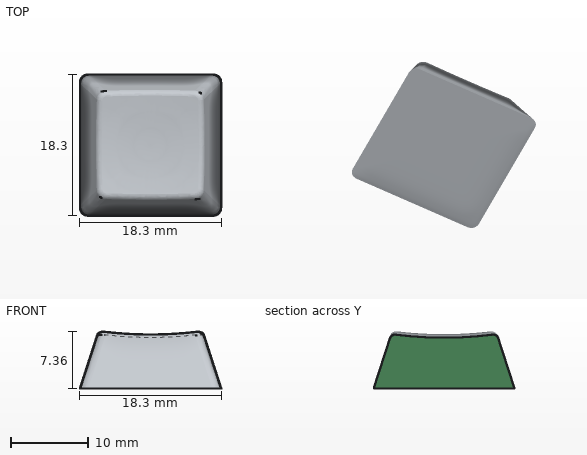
import cadquery as cq

base_side = 18.3
blank_height = 8.24
inset_x = 2.67
inset_y = 2.56
corner_radius = 1.19

dish_radius = 49.95
dish_floor = 6.6
rim_radius = 0.7


def tapered_body():
    """Four-sided frustum, taller than the finished cap, with rounded corners."""
    top_x = base_side - 2 * inset_x
    top_y = base_side - 2 * inset_y
    frustum = (
        cq.Workplane("XY")
        .rect(base_side, base_side)
        .workplane(offset=blank_height)
        .rect(top_x, top_y)
        .loft(ruled=True)
    )
    return frustum.edges("not(#Z)").fillet(corner_radius)


def dish():
    """Sphere that hollows the top of the cap."""
    return cq.Workplane("XY").sphere(dish_radius).translate((0, 0, dish_floor + dish_radius))


dished_body = tapered_body().cut(dish())

rim_edges = dished_body.faces("%SPHERE").edges()
result = rim_edges.fillet(rim_radius)